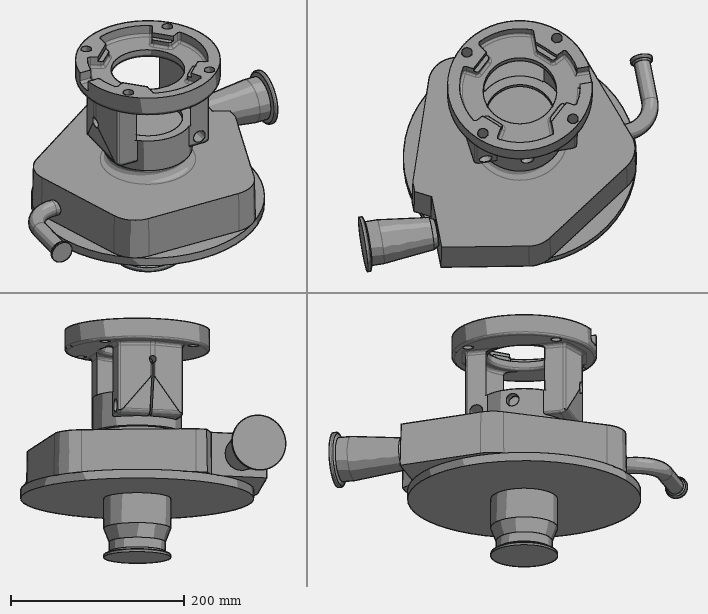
import cadquery as cq
import math


plate_radius = 134.45
plate_thickness = 10.2

volute_height = 50.6
volute_draft = 1.2
volute_apothem = 115.5
volute_corner_radius = 35.0
outlet_wall_y = 114.5
outlet_wall_left_x = -123.9
outlet_wall_right_x = -57.8
outlet_side_normal = 170.8
crest_y = 132.6
crest_left_x = -47.8

neck_radius = 45.0
neck_fillet = 10.0
neck_height = 16.2
ring_radius = 51.2
ring_height = 40.5
ring_bore_radius = 40.0
ring_bore_depth = 5.0
pin_hole_diameter = 15.0
pin_hole_drop = 13.1

leg_half_width = 38.7
leg_ridge_y = 69.7
leg_face_angle = 15.0
leg_ridge_radius = 10.0
leg_corner_radius = 3.0
leg_toe_radius = 8.0
leg_toe_y = 59.5
leg_slope_angle = 12.5
leg_bottom_drop = 29.6
leg_inner_radius = 52.2
leg_root_fillet = 4.5
access_hole_diameter = 13.4
access_hole_drop = 42.3
clamp_hole_diameter = 15.0
clamp_hole_y = 46.8
clamp_hole_drop = 18.2
clamp_slit_width = 2.6
slit_relief_diameter = 8.0
slit_relief_drop = 21.0

flange_radius = 83.5
flange_thickness = 24.0
flange_bottom_z = 172.5
flange_edge_fillet = 3.0
flange_bore_radius = 42.4
flange_bolt_circle_radius = 74.5
flange_bolt_diameter = 12.0
pocket_side_radius = 73.0
pocket_end_radius = 69.5
pocket_depth = 13.7
pocket_floor_fillet = 3.0
pocket_corner_radius = 3.3
notch_width = 20.4
lug_tip_distance = 50.6
lug_tip_half_width = 11.4
lug_flare_angle = 15.0
lug_wide_flare_angle = 45.0
lug_ledge_distance = 56.3
lug_ledge_depth = 6.0

suction_radius = 38.7
suction_length = 35.0
suction_cone_length = 16.0
suction_end_radius = 32.4
suction_end_length = 11.3
suction_ferrule_cone = 3.0
suction_ferrule_radius = 38.7
suction_ferrule_thickness = 3.7

outlet_x = -91.4
outlet_root_radius = 15.5
outlet_small_radius = 18.9
outlet_root_length = 5.5
outlet_cone_end_y = 179.6
outlet_large_radius = 25.7
outlet_ferrule_start_y = 193.8
outlet_ferrule_radius = 32.0
outlet_ferrule_thickness = 4.3
outlet_end_y = 199.8

drain_z = 29.7
drain_radius = 9.4
drain_bend_radius = 34.5
drain_axis_y = -158.0
drain_ferrule_start_x = 83.5
drain_ferrule_radius = 12.9
drain_ferrule_thickness = 4.0
drain_end_x = 89.7

ferrule_rim_fillet = 1.5

selection_margin = 0.1

volute_top_z = plate_thickness + volute_height
ring_bottom_z = volute_top_z + neck_height
ring_top_z = ring_bottom_z + ring_height
leg_bottom_z = ring_top_z - leg_bottom_drop
flange_top_z = flange_bottom_z + flange_thickness
pocket_floor_z = flange_top_z - pocket_depth
volute_mid_z = plate_thickness + volute_height / 2


def cylinder(radius, bottom_z, top_z):
    return cq.Workplane("XY").workplane(offset=bottom_z).circle(radius).extrude(top_z - bottom_z)


def revolve_profile(points):
    """Revolve (radius, height) points about the local vertical axis."""
    return cq.Workplane("XZ").polyline(points).close().revolve(360, (0, 0, 0), (0, 1, 0))


def round_rim(pipe, radius, height):
    """Round the rim edge of a ferrule: the edge of the given radius at the given height."""
    reach = radius + selection_margin
    edge = cq.selectors.BoxSelector(
        (-reach, -reach, height - selection_margin),
        (reach, reach, height + selection_margin),
        boundingbox=True,
    )
    rim = pipe.edges(edge).edges(cq.selectors.RadiusNthSelector(-1))
    return rim.fillet(ferrule_rim_fillet)


def wall_crossing(normal_a, distance_a, normal_b, distance_b):
    """Corner of two walls given by their normal directions and distances from the axis."""
    a = math.radians(normal_a)
    b = math.radians(normal_b)
    det = math.sin(b - a)
    x = (distance_a * math.sin(b) - distance_b * math.sin(a)) / det
    y = (distance_b * math.cos(a) - distance_a * math.cos(b)) / det
    return (x, y)


def make_volute():
    side = math.radians(outlet_side_normal)
    side_distance = outlet_wall_left_x * math.cos(side) + outlet_wall_y * math.sin(side)
    walls = [
        (outlet_side_normal, side_distance),
        (216, volute_apothem),
        (288, volute_apothem),
        (0, volute_apothem),
        (72, volute_apothem),
    ]
    rounded = [wall_crossing(*walls[i], *walls[i + 1]) for i in range(len(walls) - 1)]
    crest_right = wall_crossing(72, volute_apothem, 90, crest_y)
    crest_left = (crest_left_x, crest_y)
    wall_right = (outlet_wall_right_x, outlet_wall_y)
    wall_left = (outlet_wall_left_x, outlet_wall_y)
    points = rounded + [crest_right, crest_left, wall_right, wall_left]

    prism = cq.Workplane("XY").polyline(points).close().extrude(volute_height)
    for x, y in rounded:
        corner = cq.selectors.NearestToPointSelector((x, y, volute_height / 2))
        prism = prism.edges("|Z").edges(corner).fillet(volute_corner_radius)
    outline = prism.faces("<Z").wires().val()
    base = cq.Workplane("XY").add(outline).toPending()
    body = base.extrude(volute_height, taper=volute_draft)
    return body.translate((0, 0, plate_thickness))


def make_neck_and_ring():
    flare_radius = neck_radius + neck_fillet
    arc_offset = neck_fillet * (1 - math.sqrt(0.5))
    neck = (
        cq.Workplane("XZ")
        .moveTo(0, volute_top_z)
        .lineTo(flare_radius, volute_top_z)
        .threePointArc(
            (neck_radius + arc_offset, volute_top_z + arc_offset),
            (neck_radius, volute_top_z + neck_fillet),
        )
        .lineTo(neck_radius, ring_bottom_z)
        .lineTo(0, ring_bottom_z)
        .close()
        .revolve(360, (0, 0, 0), (0, 1, 0))
    )
    return neck.union(cylinder(ring_radius, ring_bottom_z, ring_top_z))


def make_leg():
    """Leg on the -Y side: ridged outer face, sloped toe, rounded edges."""
    shoulder_y = leg_ridge_y - leg_half_width * math.tan(math.radians(leg_face_angle))
    leg_height = flange_bottom_z - leg_bottom_z
    leg = (
        cq.Workplane("XY")
        .workplane(offset=leg_bottom_z)
        .polyline([
            (-leg_half_width, 0),
            (-leg_half_width, -shoulder_y),
            (0, -leg_ridge_y),
            (leg_half_width, -shoulder_y),
            (leg_half_width, 0),
        ])
        .close()
        .extrude(leg_height)
    )
    leg = leg.edges("|Z").edges("<Y").fillet(leg_ridge_radius)

    slope_run = leg_height * math.tan(math.radians(leg_slope_angle))
    toe = (
        cq.Workplane("YZ")
        .polyline([
            (0, leg_bottom_z),
            (-leg_toe_y, leg_bottom_z),
            (-leg_toe_y - slope_run, flange_bottom_z),
            (0, flange_bottom_z),
        ])
        .close()
        .extrude(leg_half_width, both=True)
    )
    leg = leg.intersect(toe)
    leg = leg.faces("<Z").edges("<Y").fillet(leg_toe_radius)

    rounded_edges = leg.faces("<X or >X").edges("not(>Y or >Z)")
    leg = rounded_edges.fillet(leg_corner_radius)
    return leg.cut(cylinder(leg_inner_radius, ring_top_z, flange_bottom_z))


def make_yoke():
    flange = cylinder(flange_radius, flange_bottom_z, flange_top_z)
    flange = flange.cut(cylinder(flange_bore_radius, flange_bottom_z, flange_top_z))
    flange = flange.faces("<Z").edges().fillet(flange_edge_fillet)
    front_leg = make_leg()
    yoke = flange.union(front_leg).union(front_leg.mirror("XZ"))
    reach = leg_ridge_y + selection_margin
    root = cq.selectors.BoxSelector(
        (-reach, -reach, flange_bottom_z - selection_margin),
        (reach, reach, flange_bottom_z + selection_margin),
        boundingbox=True,
    )
    return yoke.edges(root).fillet(leg_root_fillet)


def make_lug(flare_left, flare_right):
    """Lug pointing at the axis from +X, narrowing towards its tip."""
    outer = flange_radius
    run = outer - lug_tip_distance
    left = lug_tip_half_width + run * math.tan(math.radians(flare_left))
    right = lug_tip_half_width + run * math.tan(math.radians(flare_right))
    return (
        cq.Workplane("XY")
        .workplane(offset=pocket_floor_z)
        .polyline([
            (lug_tip_distance, -lug_tip_half_width),
            (outer, -right),
            (outer, left),
            (lug_tip_distance, lug_tip_half_width),
        ])
        .close()
        .extrude(pocket_depth)
    )


lugs = [
    (45, lug_flare_angle, lug_flare_angle),
    (135, lug_flare_angle, lug_flare_angle),
    (225, lug_flare_angle, lug_wide_flare_angle),
    (315, lug_wide_flare_angle, lug_flare_angle),
]


def make_flange_pocket():
    pocket = cylinder(pocket_side_radius, pocket_floor_z, flange_top_z)
    end_disc = cylinder(pocket_end_radius, pocket_floor_z, flange_top_z)
    for direction in (90, 270):
        quarter = (
            cq.Workplane("XY")
            .workplane(offset=pocket_floor_z)
            .polyline([(0, 0), (flange_radius, -flange_radius), (flange_radius, flange_radius)])
            .close()
            .extrude(pocket_depth)
            .rotate((0, 0, 0), (0, 0, 1), direction)
        )
        pocket = pocket.cut(quarter.cut(end_disc))
    for direction, flare_left, flare_right in lugs:
        lug = make_lug(flare_left, flare_right)
        pocket = pocket.cut(lug.rotate((0, 0, 0), (0, 0, 1), direction))
    pocket = pocket.edges("|Z").fillet(pocket_corner_radius)
    notch = (
        cq.Workplane("XY")
        .workplane(offset=pocket_floor_z)
        .center(0, -flange_radius)
        .rect(notch_width, 2 * (flange_radius - lug_tip_distance))
        .extrude(pocket_depth)
    )
    pocket = pocket.union(notch)
    pocket = pocket.faces("<Z").edges().fillet(pocket_floor_fillet)

    ledge_length = lug_ledge_distance - flange_bore_radius
    ledge_width = 2 * (lug_tip_half_width + lug_ledge_distance - lug_tip_distance)
    for direction, _, _ in lugs:
        ledge = (
            cq.Workplane("XY")
            .box(ledge_length, ledge_width, lug_ledge_depth, centered=(False, True, False))
            .translate((flange_bore_radius, 0, flange_top_z - lug_ledge_depth))
            .rotate((0, 0, 0), (0, 0, 1), direction)
        )
        pocket = pocket.union(ledge)
    return pocket


def cut_flange(body):
    body = body.cut(make_flange_pocket())
    bolts = (
        cq.Workplane("XY")
        .workplane(offset=flange_bottom_z)
        .polarArray(flange_bolt_circle_radius, 45, 360, 4)
        .circle(flange_bolt_diameter / 2)
        .extrude(flange_thickness)
    )
    return body.cut(bolts)


def cut_clamp_features(body):
    body = body.cut(cylinder(ring_bore_radius, ring_top_z - ring_bore_depth, ring_top_z))

    pin_hole = (
        cq.Workplane("YZ", origin=(-ring_bore_radius, 0, 0))
        .center(0, ring_top_z - pin_hole_drop)
        .circle(pin_hole_diameter / 2)
        .extrude(ring_bore_radius - ring_radius)
    )
    access_hole = (
        cq.Workplane("XZ")
        .center(0, flange_bottom_z - access_hole_drop)
        .circle(access_hole_diameter / 2)
        .extrude(leg_ridge_y)
    )
    clamp_hole = (
        cq.Workplane("YZ")
        .center(clamp_hole_y, ring_top_z - clamp_hole_drop)
        .circle(clamp_hole_diameter / 2)
        .extrude(leg_half_width, both=True)
    )

    relief_z = flange_bottom_z - slit_relief_drop
    relief_hole = (
        cq.Workplane("XZ")
        .center(0, relief_z)
        .circle(slit_relief_diameter / 2)
        .extrude(-leg_ridge_y)
    )
    slit = (
        cq.Workplane("XY")
        .workplane(offset=leg_bottom_z)
        .center(0, leg_ridge_y / 2)
        .rect(clamp_slit_width, leg_ridge_y)
        .extrude(relief_z - leg_bottom_z)
        .cut(cylinder(ring_radius, leg_bottom_z, ring_top_z))
    )
    for cutter in (pin_hole, access_hole, clamp_hole, relief_hole, slit):
        body = body.cut(cutter)
    return body


def make_suction():
    cone_top = -suction_length
    cone_bottom = cone_top - suction_cone_length
    end_bottom = cone_bottom - suction_end_length
    rim_top = end_bottom - suction_ferrule_cone
    rim_bottom = rim_top - suction_ferrule_thickness
    pipe = revolve_profile([
        (0, 0),
        (suction_radius, 0),
        (suction_radius, cone_top),
        (suction_end_radius, cone_bottom),
        (suction_end_radius, end_bottom),
        (suction_ferrule_radius - suction_ferrule_cone, rim_top),
        (suction_ferrule_radius, rim_top),
        (suction_ferrule_radius, rim_bottom),
        (0, rim_bottom),
    ])
    return round_rim(pipe, suction_ferrule_radius, rim_top)


def make_outlet():
    root_y = outlet_wall_y
    rim_y = outlet_end_y - outlet_ferrule_thickness
    ferrule_cone = rim_y - outlet_ferrule_start_y
    inside_y = root_y - outlet_root_length
    pipe = revolve_profile([
        (0, inside_y),
        (outlet_root_radius, inside_y),
        (outlet_root_radius, root_y),
        (outlet_small_radius, root_y + outlet_root_length),
        (outlet_large_radius, outlet_cone_end_y),
        (outlet_large_radius, outlet_ferrule_start_y),
        (outlet_ferrule_radius - ferrule_cone, rim_y),
        (outlet_ferrule_radius, rim_y),
        (outlet_ferrule_radius, outlet_end_y),
        (0, outlet_end_y),
    ])
    pipe = round_rim(pipe, outlet_ferrule_radius, rim_y)
    return pipe.rotate((0, 0, 0), (1, 0, 0), -90).translate((outlet_x, 0, volute_mid_z))


def make_drain():
    bend_start_y = drain_axis_y + drain_bend_radius
    inside_y = -volute_apothem + 2 * drain_radius
    bend_mid = drain_bend_radius * (1 - math.sqrt(0.5))
    path = (
        cq.Workplane("XY")
        .workplane(offset=drain_z)
        .moveTo(0, inside_y)
        .lineTo(0, bend_start_y)
        .threePointArc((bend_mid, drain_axis_y + bend_mid), (drain_bend_radius, drain_axis_y))
        .lineTo(drain_ferrule_start_x, drain_axis_y)
    )
    pipe = (
        cq.Workplane("XZ", origin=(0, inside_y, drain_z))
        .circle(drain_radius)
        .sweep(path)
    )
    rim_x = drain_end_x - drain_ferrule_thickness
    ferrule = revolve_profile([
        (0, drain_ferrule_start_x),
        (drain_radius, drain_ferrule_start_x),
        (drain_ferrule_radius - ferrule_rim_fillet - selection_margin, rim_x),
        (drain_ferrule_radius, rim_x),
        (drain_ferrule_radius, drain_end_x),
        (0, drain_end_x),
    ])
    ferrule = round_rim(ferrule, drain_ferrule_radius, rim_x)
    ferrule = ferrule.rotate((0, 0, 0), (0, 1, 0), 90).translate((0, drain_axis_y, drain_z))
    return pipe.union(ferrule)


result = cylinder(plate_radius, 0, plate_thickness)
result = result.union(make_volute())
result = result.union(make_neck_and_ring())
result = result.union(make_yoke())
result = cut_flange(result)
result = cut_clamp_features(result)
for pipe in (make_suction(), make_outlet(), make_drain()):
    result = result.union(pipe)